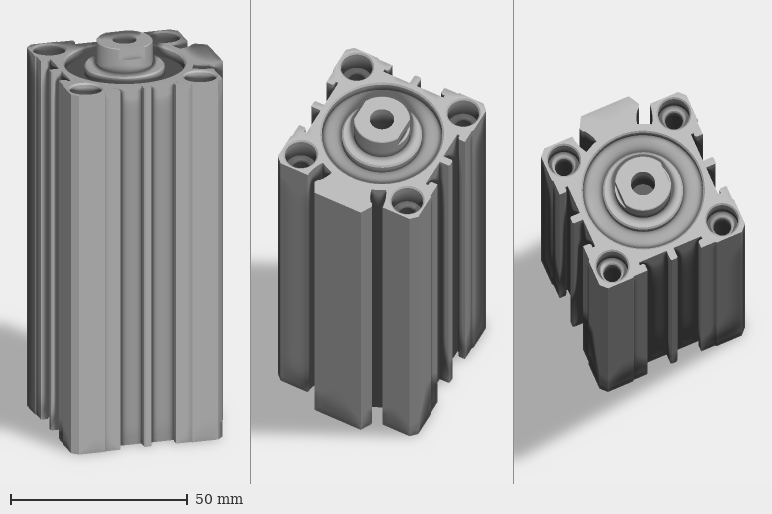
import cadquery as cq
import math

total_height = 115.0
body_height = 108.0
body_width = 45.0
overall_depth = 49.5
half_width = body_width / 2
corner_chamfer = 1.8

rail_top_y = overall_depth - half_width
rail_top_half_width = 7.4
rail_wide_half_width = 9.1
rail_wide_top_y = 23.9
rail_wide_bottom_y = 23.5
rail_heel_half_width = 8.6
rail_heel_y = 22.7
rail_neck_half_width = 8.0
rail_neck_y = 22.3
rail_flank_half_width = 6.9
rail_flank_y = 20.4
rail_root_half_width = 6.3
rail_gap_floor_radius = 19.5
rail_gap_bottom_half_width = 10.1
rail_gap_side_half_width = 11.5
rail_gap_side_y = 19.8
rail_gap_top_half_width = 12.0

relief_depth = 0.3
relief_half_length = 12.5
relief_slope_length = 0.5
slot_mouth_half_length = 8.3
slot_undercut_half_length = 9.7
slot_floor_depth = 3.5
lip_inner_depth = 2.6
lip_chamfer = 0.5
rib_half_thickness = 1.09
rib_chamfer = 0.3

hole_pitch = 34.0
hole_diameter = 5.1
hole_chamfer = 0.3
counterbore_diameter = 9.0
counterbore_depth = 7.0
counterbore_chamfer = 0.5

recess_diameter = 34.2
recess_depth = 3.0
recess_chamfer = 0.5
collar_diameter = 22.8
collar_chamfer = 0.5
collar_drop = 0.2

rod_diameter = 16.0
rod_tip_chamfer = 0.2
rod_insertion = 23.0
rod_bottom_z = body_height - rod_insertion
flat_width = 14.0
flat_height = 3.5
rod_hole_diameter = 6.9
rod_hole_depth = 13.0


def cylinder(diameter, bottom_z, height):
    return cq.Workplane("XY", origin=(0, 0, bottom_z)).circle(diameter / 2).extrude(height)


def extrude_outline(points):
    return cq.Workplane("XY").polyline(points).close().extrude(body_height)


def mirrored_x(points):
    """Points on the +X side followed by their mirror images in reverse order."""
    return points + [(-x, y) for x, y in reversed(points)]


def t_slot_cutter():
    """Material removed from the -Y side: shallow relief and T-slot, less the centre rib."""
    face_y = -half_width
    relief_y = face_y + relief_depth
    lip_y = face_y + lip_inner_depth
    floor_y = face_y + slot_floor_depth
    cutter = extrude_outline(mirrored_x([
        (relief_half_length + relief_slope_length, face_y),
        (relief_half_length, relief_y),
        (slot_mouth_half_length, relief_y),
        (slot_mouth_half_length, lip_y - lip_chamfer),
        (slot_mouth_half_length + lip_chamfer, lip_y),
        (slot_undercut_half_length, lip_y),
        (slot_undercut_half_length, floor_y),
    ]))
    rib = extrude_outline(mirrored_x([
        (rib_half_thickness - rib_chamfer, relief_y),
        (rib_half_thickness, relief_y + rib_chamfer),
        (rib_half_thickness, floor_y),
    ]))
    return cutter.cut(rib)


def rail_gap_and_rail():
    """Opening in the +Y side with the rail standing in it; returns (gap, rail)."""
    floor_y = math.sqrt(rail_gap_floor_radius**2 - rail_gap_bottom_half_width**2)
    gap = (
        cq.Workplane("XY")
        .moveTo(rail_gap_top_half_width, half_width)
        .threePointArc((rail_gap_side_half_width, rail_gap_side_y), (rail_gap_bottom_half_width, floor_y))
        .threePointArc((0, rail_gap_floor_radius), (-rail_gap_bottom_half_width, floor_y))
        .threePointArc((-rail_gap_side_half_width, rail_gap_side_y), (-rail_gap_top_half_width, half_width))
        .close()
        .extrude(body_height)
    )
    root_y = math.sqrt(rail_gap_floor_radius**2 - rail_root_half_width**2)
    head_outline = mirrored_x([
        (rail_neck_half_width, rail_neck_y),
        (rail_heel_half_width, rail_heel_y),
        (rail_wide_half_width, rail_wide_bottom_y),
        (rail_wide_half_width, rail_wide_top_y),
        (rail_top_half_width, rail_top_y),
    ])
    rail = (
        cq.Workplane("XY")
        .polyline(head_outline)
        .threePointArc((-rail_flank_half_width, rail_flank_y), (-rail_root_half_width, root_y))
        .threePointArc((0, rail_gap_floor_radius), (rail_root_half_width, root_y))
        .threePointArc((rail_flank_half_width, rail_flank_y), (rail_neck_half_width, rail_neck_y))
        .close()
        .extrude(body_height)
    )
    return gap, rail


def make_profile():
    profile = cq.Workplane("XY").rect(body_width, body_width).extrude(body_height)
    profile = profile.edges("|Z").chamfer(corner_chamfer)
    for angle in (-90, 0, 90):
        profile = profile.cut(t_slot_cutter().rotate((0, 0, 0), (0, 0, 1), angle))
    gap, rail = rail_gap_and_rail()
    return profile.cut(gap).union(rail)


def chamfered_bore(diameter, floor_z, top_z, chamfer):
    """Cutter for a round bore whose mouth at top_z is widened by a 45-degree chamfer."""
    radius = diameter / 2
    outline = [
        (0, floor_z),
        (radius, floor_z),
        (radius, top_z - chamfer),
        (radius + chamfer, top_z),
        (0, top_z),
    ]
    return cq.Workplane("XZ").polyline(outline).close().revolve(360, (0, 0), (0, 1))


def make_housing():
    housing = make_profile()

    recess_floor_z = body_height - recess_depth
    recess = chamfered_bore(recess_diameter, recess_floor_z, body_height, recess_chamfer)
    collar = cylinder(collar_diameter, recess_floor_z, recess_depth - collar_drop)
    collar = collar.faces(">Z").edges().chamfer(collar_chamfer)
    housing = housing.cut(recess.cut(collar))
    housing = housing.cut(cylinder(rod_diameter, rod_bottom_z, rod_insertion))

    counterbore_floor_z = body_height - counterbore_depth
    hole = chamfered_bore(hole_diameter, 0, counterbore_floor_z, hole_chamfer)
    counterbore = chamfered_bore(counterbore_diameter, counterbore_floor_z, body_height, counterbore_chamfer)
    cutter = hole.union(counterbore)
    hole_offset = hole_pitch / 2
    for x in (-hole_offset, hole_offset):
        for y in (-hole_offset, hole_offset):
            housing = housing.cut(cutter.translate((x, y, 0)))
    return housing


def make_piston_rod():
    rod = cylinder(rod_diameter, rod_bottom_z, total_height - rod_bottom_z)
    rod = rod.faces(">Z").edges().chamfer(rod_tip_chamfer)
    below_flats = cylinder(rod_diameter, rod_bottom_z, total_height - flat_height - rod_bottom_z)
    between_flats = cq.Workplane("XY", origin=(0, 0, rod_bottom_z)).rect(flat_width, rod_diameter)
    between_flats = between_flats.extrude(total_height - rod_bottom_z)
    rod = rod.intersect(between_flats).union(below_flats)
    return rod.cut(cylinder(rod_hole_diameter, total_height - rod_hole_depth, rod_hole_depth))


housing = make_housing()
piston_rod = make_piston_rod()
result = cq.Compound.makeCompound([housing.val(), piston_rod.val()])